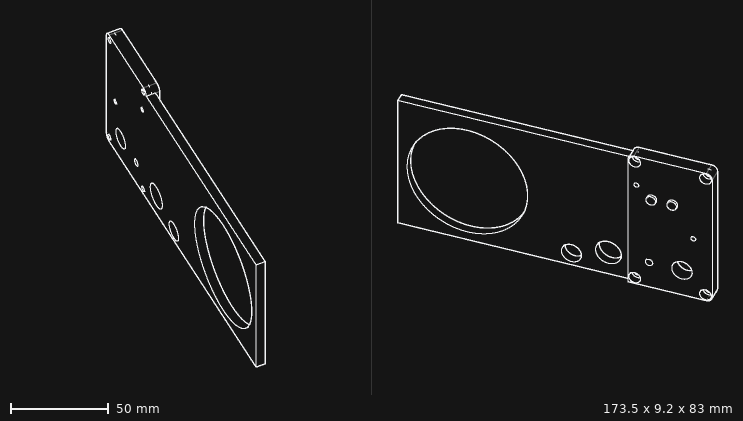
import cadquery as cq

length = 173.5
height = 83.0
total_depth = 9.2
thin_height = 79.8
thin_thickness = 5.2
block_length = 46.3
corner_radius = 3.3

pin_diameter = 5.4
pin_height = 1.47
pin_z = 57.6
pin_xs = (21.7, 33.1)
block_thickness = total_depth - pin_height

screw_diameter = 3.1
screw_head_diameter = 6.5
screw_floor = 3.3
screw_wall = 0.5
screw_inset = screw_head_diameter / 2 + screw_wall

through_holes = (
    (135.3, 38.2, 66.1),
    (58.0, 13.9, 14.0),
    (16.7, 16.0, 11.1),
    (78.2, 7.6, 11.0),
    (34.7, 16.0, 4.0),
    (41.6, 64.4, 2.6),
    (10.4, 38.3, 2.6),
)


def slab(size_x, size_z, thickness):
    """Upright slab with one corner at the origin and its front face at Y = 0."""
    return cq.Workplane("XY").box(size_x, thickness, size_z, centered=False)


def rod(x, z, diameter, start, depth):
    """Cylinder along +Y, beginning at Y = start."""
    return cq.Workplane("XZ", origin=(x, start, z)).circle(diameter / 2).extrude(-depth)


block = slab(block_length, height, block_thickness)
block = block.edges("|Y").edges("<X or >Z").fillet(corner_radius)

overlap_start = block_length / 2
thin_plate = slab(length - overlap_start, thin_height, thin_thickness)
thin_plate = thin_plate.translate((overlap_start, 0, 0))
body = block.union(thin_plate)

for x in pin_xs:
    body = body.union(rod(x, pin_z, pin_diameter, block_thickness, pin_height))

for x, z, diameter in through_holes:
    body = body.cut(rod(x, z, diameter, 0, block_thickness))

screw_bore_depth = block_thickness - screw_floor
for x in (screw_inset, block_length - screw_inset):
    for z in (screw_inset, height - screw_inset):
        body = body.cut(rod(x, z, screw_diameter, 0, block_thickness))
        body = body.cut(rod(x, z, screw_head_diameter, screw_floor, screw_bore_depth))

result = body